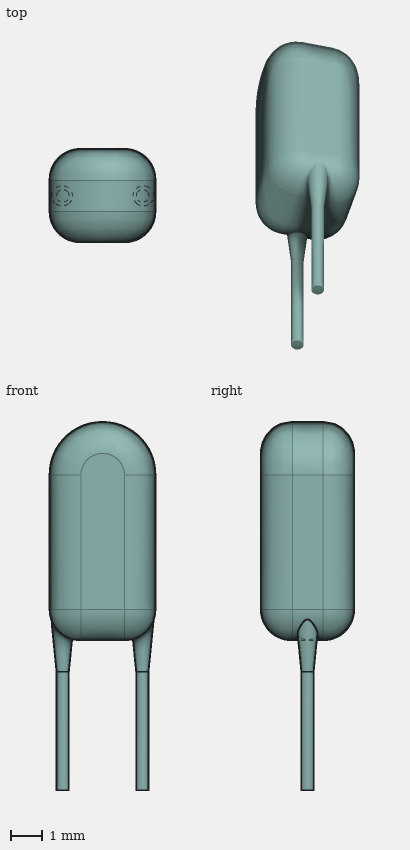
import cadquery as cq

housing_width = 3.4
housing_depth = 3.0
edge_radius = 1.0
dome_radius = housing_width / 2
total_height = 11.8
housing_bottom = 4.8
dome_start = total_height - dome_radius

lead_spacing = 2.55
wire_radius = 0.2
wire_length = 3.8
collar_top_radius = 2 * wire_radius
collar_top = housing_bottom + edge_radius


def make_housing():
    """Arched block with its front, back and lower edges rounded."""
    half_width = housing_width / 2
    block = (
        cq.Workplane("XZ", origin=(0, housing_depth / 2, 0))
        .moveTo(-half_width, housing_bottom)
        .lineTo(half_width, housing_bottom)
        .lineTo(half_width, dome_start)
        .threePointArc((0, total_height), (-half_width, dome_start))
        .close()
        .extrude(housing_depth)
    )
    rounded_edges = block.faces("|Y").edges().add(block.faces("<Z").edges("|Y"))
    return rounded_edges.fillet(edge_radius)


def make_wire(x):
    """Round wire ending flat against the narrow end of its collar."""
    return cq.Workplane("XY").center(x, 0).circle(wire_radius).extrude(wire_length)


def make_collar(x, housing):
    """Cone widening upward, ending against the rounded underside of the housing."""
    cone = cq.Solid.makeCone(
        wire_radius,
        collar_top_radius,
        collar_top - wire_length,
        pnt=cq.Vector(x, 0, wire_length),
        dir=cq.Vector(0, 0, 1),
    )
    return cq.Workplane(cone).cut(housing)


housing = make_housing()
wires = []
collars = []
for lead_x in (-lead_spacing / 2, lead_spacing / 2):
    wires.append(make_wire(lead_x))
    collars.append(make_collar(lead_x, housing))

result = cq.Compound.makeCompound(
    [
        housing.val(),
        *[solid for wire in wires for solid in wire.solids().vals()],
        *[solid for collar in collars for solid in collar.solids().vals()],
    ]
)